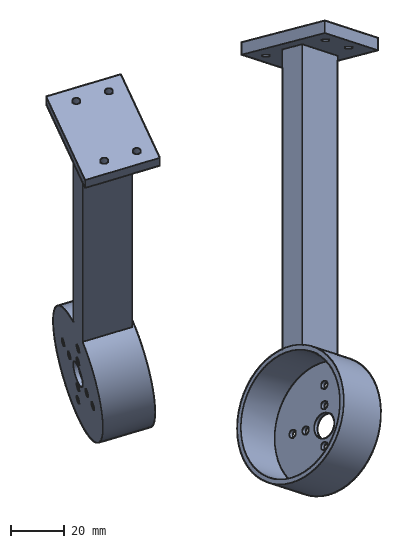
import cadquery as cq

total_height = 176.8

cup_diameter = 54.0
cup_depth = 21.0
cup_front_wall = 2.0
cup_side_wall = 2.0
cup_radius = cup_diameter / 2

shaft_hole_diameter = 10.0
screw_hole_diameter = 3.2
screw_spacings_x = (19.0, 32.0)
screw_spacings_z = (16.0, 32.0)

arm_width = 10.0
arm_depth = 20.0

plate_width = 42.0
plate_depth = 30.0
plate_thickness = 5.0
plate_front_overhang = 5.0
plate_hole_diameter = 3.0
plate_hole_spacing_x = 30.0
plate_hole_spacing_y = 13.0
plate_hole_center_y = 11.5

plate_bottom_z = total_height - cup_radius - plate_thickness


def cylinder_along_y(diameter, start_y, length, x=0.0, z=0.0):
    """Cylinder running from start_y towards +Y."""
    axis_plane = cq.Plane(origin=(x, start_y, z), xDir=(1, 0, 0), normal=(0, 1, 0))
    return cq.Workplane(axis_plane).circle(diameter / 2).extrude(length)


def make_arm():
    """Bar from the cup axis up to the plate."""
    return cq.Workplane("XY").box(
        arm_width, arm_depth, plate_bottom_z, centered=(True, False, False)
    )


def make_plate():
    """Mounting plate with its four screw holes."""
    plate = (
        cq.Workplane("XY")
        .box(plate_width, plate_depth, plate_thickness, centered=(True, False, False))
        .translate((0, -plate_front_overhang, plate_bottom_z))
    )
    holes = (
        cq.Workplane("XY", origin=(0, plate_hole_center_y, plate_bottom_z))
        .rarray(plate_hole_spacing_x, plate_hole_spacing_y, 2, 2)
        .circle(plate_hole_diameter / 2)
        .extrude(plate_thickness)
    )
    return plate.cut(holes)


def cut_cavity(body):
    """Hollow the cup from the back, leaving the front wall and the rim."""
    cavity_diameter = cup_diameter - 2 * cup_side_wall
    return body.cut(cylinder_along_y(cavity_diameter, cup_front_wall, cup_depth - cup_front_wall))


def cut_front_holes(body):
    """Shaft hole and a cross of screw holes through the front wall."""
    body = body.cut(cylinder_along_y(shaft_hole_diameter, 0, cup_depth))
    for side in (-1, 1):
        for spacing in screw_spacings_x:
            body = body.cut(cylinder_along_y(screw_hole_diameter, 0, cup_depth, x=side * spacing / 2))
        for spacing in screw_spacings_z:
            body = body.cut(cylinder_along_y(screw_hole_diameter, 0, cup_depth, z=side * spacing / 2))
    return body


cup = cylinder_along_y(cup_diameter, 0, cup_depth)
body = cut_front_holes(cut_cavity(cup.union(make_arm())))
result = body.union(make_plate())